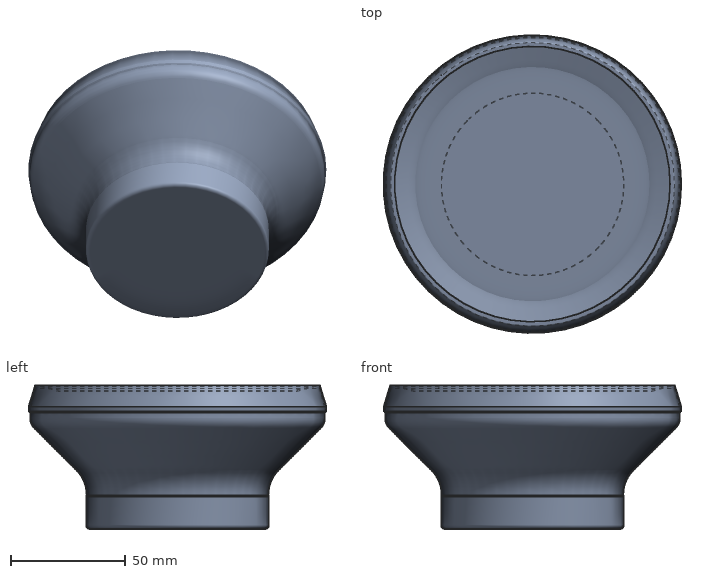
import cadquery as cq
import math

total_height = 63.0
cap_radius = 65.2
cap_rim_radius = 62.4
cap_edge_round = 0.7
cap_taper_bottom = 53.5
cap_skirt_radius = 65.0
cap_skirt_bottom = 51.6
cap_bottom = 51.0
dish_rim_radius = 60.6
dish_floor_radius = 51.2
dish_depth = 2.2
cap_skin = 0.4

core_radius = 64.1
core_wall_top = 53.7
core_shoulder_radius = 62.0
core_shoulder_height = 61.6
core_floor_radius = 52.3
core_rim_radius = 60.2

band_radius = 64.5
band_bottom = 48.6
band_round = 6.1
neck_radius = 39.82
neck_round = 14.9
foot_radius = 40.0
foot_top = 14.2
foot_chamfer_top = 14.7
foot_round = 1.8

dish_floor = total_height - dish_depth
core_floor = dish_floor - cap_skin
core_rim = total_height - cap_skin

flare_angle = math.radians(45)
arc_rise = math.sin(flare_angle)
arc_inset = 1 - math.cos(flare_angle)
half_rise = math.sin(flare_angle / 2)
half_inset = 1 - math.cos(flare_angle / 2)

flare_top_radius = band_radius - band_round * arc_inset
flare_top = band_bottom - band_round * arc_rise
flare_bottom_radius = neck_radius + neck_round * arc_inset
flare_bottom = flare_top - (flare_top_radius - flare_bottom_radius)
neck_top = flare_bottom - neck_round * arc_rise


def revolve_profile(profile):
    """Close a (radius, height) profile and turn it about the Z axis."""
    return profile.close().revolve(360, (0, 0, 0), (0, 1, 0))


def make_base():
    profile = (
        cq.Workplane("XZ")
        .lineTo(foot_radius - foot_round, 0)
        .radiusArc((foot_radius, foot_round), -foot_round)
        .lineTo(foot_radius, foot_top)
        .lineTo(neck_radius, foot_chamfer_top)
        .lineTo(neck_radius, neck_top)
        .threePointArc(
            (neck_radius + neck_round * half_inset, neck_top + neck_round * half_rise),
            (flare_bottom_radius, flare_bottom),
        )
        .lineTo(flare_top_radius, flare_top)
        .threePointArc(
            (band_radius - band_round * half_inset, band_bottom - band_round * half_rise),
            (band_radius, band_bottom),
        )
        .lineTo(band_radius, cap_bottom)
        .lineTo(core_radius, cap_bottom)
        .lineTo(core_radius, core_wall_top)
        .lineTo(core_shoulder_radius, core_shoulder_height)
        .lineTo(core_rim_radius, core_rim)
        .lineTo(core_floor_radius, core_floor)
        .lineTo(0, core_floor)
    )
    return revolve_profile(profile)


def make_cap():
    profile = (
        cq.Workplane("XZ")
        .moveTo(0, core_floor)
        .lineTo(core_floor_radius, core_floor)
        .lineTo(core_rim_radius, core_rim)
        .lineTo(core_shoulder_radius, core_shoulder_height)
        .lineTo(core_radius, core_wall_top)
        .lineTo(core_radius, cap_bottom)
        .lineTo(band_radius, cap_bottom)
        .lineTo(cap_skirt_radius, cap_skirt_bottom)
        .lineTo(cap_radius, cap_taper_bottom)
        .lineTo(cap_rim_radius, total_height - cap_edge_round)
        .radiusArc((cap_rim_radius - cap_edge_round, total_height), -cap_edge_round)
        .lineTo(dish_rim_radius, total_height)
        .lineTo(dish_floor_radius, dish_floor)
        .lineTo(0, dish_floor)
    )
    return revolve_profile(profile)


base = make_base()
cap = make_cap()

result = cq.Compound.makeCompound([base.val(), cap.val()])